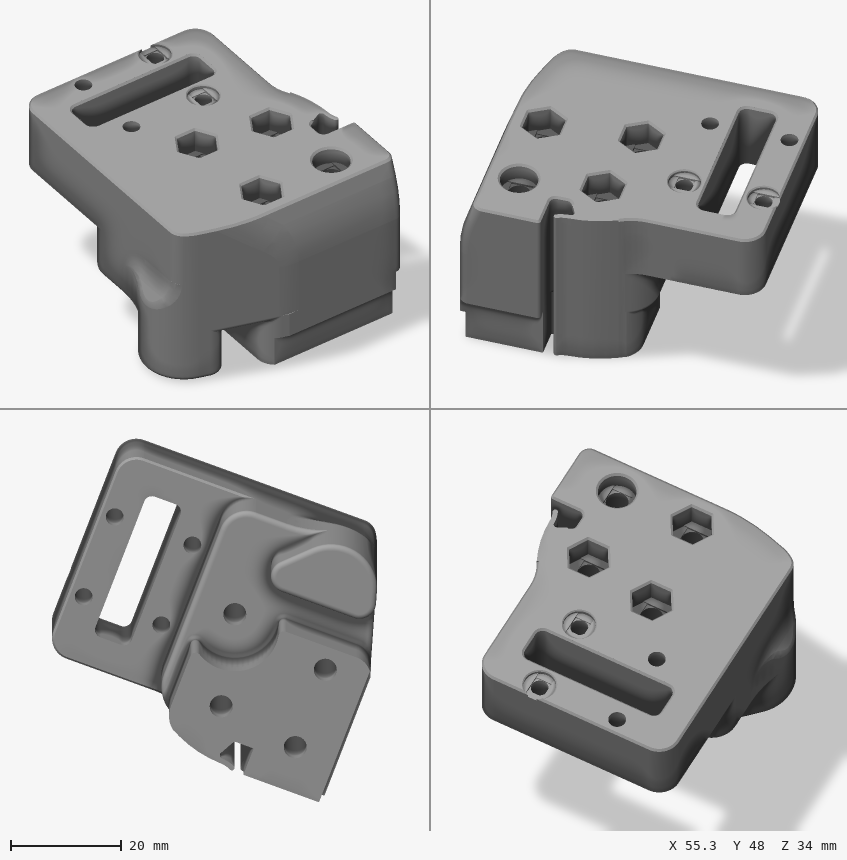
import cadquery as cq
import math

top_z = 34.0
plate_bottom_z = 20.15
body_bottom_z = 10.1
front_foot_bottom_z = 0.35

right_x = 55.3
plate_back_y = 39.9
tab_back_y = 45.85
plate_corner_radius = 4.0
edge_chamfer = 0.4

lobe_x = 42.35
lobe_radius = 8.3
lobe_bulge = 2.15
lobe_y = lobe_radius - lobe_bulge
lobe_blend_radius = 3.0
slant_angle = math.radians(16.7)
slant_blend_radius = 13.8

side_radius = 25.0
side_lean = math.radians(20)
side_arc_bottom_z = 22.25

tab_left_x = 39.65
tab_corner_radius = 2.0
tab_edge_radius = 0.55
notch_y = 38.7
notch_left_x = 35.95
notch_corner_radius = 1.1
notch_top = (35.3, 39.9)
back_blend_x = 21.2
back_blend_radius = 10.0
back_slope = math.radians(30)
back_blend_end = (
    back_blend_x + back_blend_radius * math.sin(back_slope),
    plate_back_y + back_blend_radius * (1 - math.cos(back_slope)),
)

body_left_x = 20.6
body_front_radius = 5
body_back_radius = 6.95
body_back_arc_y = 34.1
foot_left_x = 22.9
foot_back_radius = 5
foot_back_arc_y = 36.65
foot_front_y = 16.25
foot_back_y = 43.95
foot_right_radius = 4.0
foot_edge_radius = 1.0
relief_x = 54.25
relief_z = 6.15
clearance_radius = 8.0
front_foot_back_y = 9.8
front_foot_radius = 3.0
bottom_fillet = 1.0
foot_root_fillet = 0.7
foot_top_z = body_bottom_z + bottom_fillet

bump_side_radius = 19.9
bump_top_z = 22.5
bump_top_radius = 10.0
bump_top_lean = math.radians(25)
bump_axis_x = 38.9
bump_corner_radius = 7.25
bump_edge_fillet = 2.75
bump_edge_z = 16.3

nut_flats = 7.0
nut_depth = 5
screw_hole = 4.15
nut_positions = [(28.6, 18.9), (31.4, 33.4), (46.6, 20.4)]
head_diameter = 6.95
head_depth = 3.3
head_position = (46.6, 35.85)
pin_hole = 3.2
pin_left_x = 2.8
pin_right_x = 17.8
pin_front_y = 12.0
pin_back_y = 27.9
pin_bore = 5.9
pin_bore_depth = 0.65
pin_bore_chamfer = 0.2
step_height = 0.2
slot_left_x = 6.8
slot_right_x = 13.75
slot_front_y = 5.9
slot_back_y = 33.95
slot_corner_radius = 1.5


def on_circle(center, radius, angle):
    """Point of a circle at an angle in radians from +X."""
    return (center[0] + radius * math.cos(angle), center[1] + radius * math.sin(angle))


def near(x, y, z):
    return cq.selectors.NearestToPointSelector((x, y, z))


def prism(sketch, bottom, top):
    """Extrude a closed plan sketch between two Z levels."""
    return sketch.extrude(top - bottom).translate((0, 0, bottom))


def box(x0, x1, y0, y1, z0, z1):
    return cq.Workplane("XY").box(x1 - x0, y1 - y0, z1 - z0, centered=False).translate((x0, y0, z0))


lobe_center = (lobe_x, lobe_y)
blend_drop = lobe_blend_radius - lobe_y
blend_reach = lobe_radius - lobe_blend_radius
blend_x = lobe_x + math.sqrt(blend_reach**2 - blend_drop**2)
blend_angle = math.atan2(blend_drop, blend_x - lobe_x)
blend_center = (blend_x, lobe_blend_radius)
slant_start = on_circle(lobe_center, lobe_radius, -slant_angle)
slant_end_y = slant_start[1] + (right_x - slant_start[0]) / math.tan(slant_angle)


def body_outline():
    """Plan outline shared by the plate and the body, without the latch."""
    return (
        cq.Workplane("XY")
        .moveTo(0, 0)
        .lineTo(blend_x, 0)
        .threePointArc(
            on_circle(blend_center, lobe_blend_radius, (blend_angle - math.pi / 2) / 2),
            on_circle(lobe_center, lobe_radius, blend_angle),
        )
        .threePointArc(
            on_circle(lobe_center, lobe_radius, (blend_angle - slant_angle) / 2), slant_start
        )
        .lineTo(right_x, slant_end_y)
        .lineTo(right_x, tab_back_y)
        .lineTo(tab_left_x, tab_back_y)
        .lineTo(tab_left_x, notch_y)
        .lineTo(notch_left_x, notch_y)
        .lineTo(*notch_top)
        .lineTo(*back_blend_end)
        .threePointArc(
            on_circle(
                (back_blend_x, plate_back_y + back_blend_radius),
                back_blend_radius,
                (back_slope - math.pi) / 2,
            ),
            (back_blend_x, plate_back_y),
        )
        .lineTo(0, plate_back_y)
        .close()
    )


def side_profile():
    """Region left of the rounded right side, extruded along Y."""
    arc_center = (right_x - side_radius, side_arc_bottom_z)
    arc_top = on_circle(arc_center, side_radius, side_lean)
    profile = (
        cq.Workplane("XZ")
        .moveTo(-0.55, 0)
        .lineTo(right_x, 0)
        .lineTo(right_x, side_arc_bottom_z)
        .threePointArc(on_circle(arc_center, side_radius, side_lean / 2), arc_top)
        .lineTo(arc_top[0] - (top_z - arc_top[1]) * math.tan(side_lean), top_z)
        .lineTo(-0.55, top_z)
        .close()
    )
    return profile.extrude(-tab_back_y - 0.55).translate((0, -0.3, 0))


def rounded_left_region(left_x, arc_y, radius, bottom, top):
    """Everything right of a left wall whose back corner runs into the sloping back."""
    center = (left_x + radius, arc_y)
    normal = math.pi / 2 + back_slope
    arc_end = on_circle(center, radius, normal)
    rise = (right_x - arc_end[0]) * math.tan(back_slope)
    sketch = (
        cq.Workplane("XY")
        .moveTo(left_x, 0)
        .lineTo(left_x, arc_y)
        .threePointArc(on_circle(center, radius, (math.pi + normal) / 2), arc_end)
        .lineTo(right_x, arc_end[1] + rise)
        .lineTo(right_x, 0)
        .close()
    )
    return prism(sketch, bottom, top)


def make_blank():
    """Outline at full depth, with its upright edges rounded."""
    blank = prism(body_outline(), body_bottom_z, top_z).intersect(side_profile())
    mid_z = (plate_bottom_z + top_z) / 2
    low_z = (body_bottom_z + side_arc_bottom_z) / 2
    for y in (0, plate_back_y):
        blank = blank.edges(near(0, y, mid_z)).fillet(plate_corner_radius)
    for x in (notch_left_x, tab_left_x):
        blank = blank.edges(near(x, notch_y, mid_z)).fillet(notch_corner_radius)
    blank = blank.edges(near(tab_left_x, tab_back_y, mid_z)).fillet(tab_edge_radius)
    blank = blank.edges(near(right_x, tab_back_y, low_z)).fillet(tab_corner_radius)
    return blank.edges(near(right_x, slant_end_y, low_z)).fillet(slant_blend_radius)


def make_plate(blank):
    plate = blank.intersect(box(0, right_x, 0, tab_back_y, plate_bottom_z, top_z))
    return plate.faces("|Z").edges().chamfer(edge_chamfer)


def make_body(blank):
    """Lower body; it reaches into the plate past the plate's chamfer."""
    body_top_z = plate_bottom_z + 2 * edge_chamfer
    region = rounded_left_region(
        body_left_x, body_back_arc_y, body_back_radius, body_bottom_z, body_top_z
    )
    region = region.edges(near(body_left_x, 0, plate_bottom_z)).fillet(body_front_radius)
    return blank.intersect(region)


def make_bump():
    """Lobe standing proud of the front face, faded out upwards and to the left."""
    side_y = -bump_side_radius
    side_x = lobe_x - math.sqrt((bump_side_radius + lobe_radius) ** 2 - (side_y - lobe_y) ** 2)
    side_center = (side_x, side_y)
    side_angle = math.atan2(lobe_y - side_y, lobe_x - side_x)
    sketch = (
        cq.Workplane("XY")
        .moveTo(side_x, 0)
        .threePointArc(
            on_circle(side_center, bump_side_radius, (side_angle + math.pi / 2) / 2),
            on_circle(side_center, bump_side_radius, side_angle),
        )
        .threePointArc((lobe_x, -lobe_bulge), slant_start)
        .lineTo(slant_start[0], lobe_y)
        .lineTo(side_x, lobe_y)
        .close()
    )
    axis_z = bump_top_z - bump_corner_radius
    arc_center = (-bump_top_radius, bump_top_z)
    arc_end_y = -bump_top_radius * (1 - math.cos(bump_top_lean))
    arc_end_z = bump_top_z - bump_top_radius * math.sin(bump_top_lean)
    slope_foot_y = arc_end_y - (arc_end_z - axis_z) * math.tan(bump_top_lean)
    outline = (
        cq.Workplane("YZ", origin=(bump_axis_x, 0, 0))
        .moveTo(lobe_y, axis_z)
        .lineTo(lobe_y, bump_top_z)
        .lineTo(0, bump_top_z)
        .threePointArc(
            on_circle(arc_center, bump_top_radius, -bump_top_lean / 2), (arc_end_y, arc_end_z)
        )
        .lineTo(slope_foot_y, axis_z)
        .close()
    )
    fade = cq.Face.makeFromWires(outline.val())
    straight = cq.Workplane(cq.Solid.extrudeLinear(fade, cq.Vector(right_x - bump_axis_x, 0, 0)))
    corner = cq.Workplane(
        cq.Solid.revolve(fade, 90, cq.Vector(bump_axis_x, 0.55, axis_z), cq.Vector(bump_axis_x, 0, axis_z))
    )
    lower = box(0, right_x, slope_foot_y, lobe_y, body_bottom_z, axis_z)
    bump = prism(sketch, body_bottom_z, bump_top_z)
    return bump.intersect(straight.union(corner).union(lower))


def make_latch():
    """Bulge on the back with the thin springy lip over the notch, at full height."""
    sketch = (
        cq.Workplane("XY")
        .moveTo(*back_blend_end)
        .threePointArc((30.75, 42.85), (35.05, 43.4))
        .threePointArc((36.15, 43.6), (37.05, 43.9))
        .threePointArc((37.7, 43.65), (37.45, 43.0))
        .threePointArc((36.3, 42.65), (34.95, 42.45))
        .threePointArc((34.4, 42.1), (34.5, 41.4))
        .lineTo(*notch_top)
        .lineTo(notch_top[0] - 0.55, notch_top[1] - 1.1)
        .lineTo(back_blend_end[0] + 0.55, back_blend_end[1] - 1.1)
        .close()
    )
    return prism(sketch, 0, top_z)


def make_front_foot():
    """Foot under the lobe: two small end arcs run tangent into the lobe."""
    foot_y = front_foot_back_y - front_foot_radius

    def end_center(normal):
        reach = lobe_radius - front_foot_radius
        return (lobe_x + (reach + (foot_y - lobe_y) * -math.sin(normal)) / math.cos(normal), foot_y)

    left_normal = math.radians(-135)
    right_normal = -slant_angle
    left = end_center(left_normal)
    right = end_center(right_normal)
    sketch = (
        cq.Workplane("XY")
        .moveTo(left[0], front_foot_back_y)
        .threePointArc(
            on_circle(left, front_foot_radius, math.pi),
            on_circle(left, front_foot_radius, left_normal),
        )
        .lineTo(*on_circle(lobe_center, lobe_radius, left_normal))
        .threePointArc((lobe_x, -lobe_bulge), slant_start)
        .lineTo(*on_circle(right, front_foot_radius, right_normal))
        .threePointArc(
            on_circle(right, front_foot_radius, math.pi / 4), (right[0], front_foot_back_y)
        )
        .close()
    )
    foot = prism(sketch, front_foot_bottom_z, foot_top_z)
    return foot.faces("<Z").edges().fillet(bottom_fillet)


def make_rear_foot():
    """Foot at the back, hollowed by a round clearance around the left nut hole."""
    foot = prism(body_outline(), 0, foot_top_z)
    foot = foot.intersect(box(foot_left_x, right_x, foot_front_y, foot_back_y, 0, foot_top_z))
    foot = foot.intersect(
        rounded_left_region(foot_left_x, foot_back_arc_y, foot_back_radius, 0, foot_top_z)
    )
    mid_z = foot_top_z / 2
    foot = foot.edges(near(right_x, foot_front_y, mid_z)).fillet(foot_right_radius)
    center_x, center_y = nut_positions[0]
    clearance = cq.Workplane("XY").center(center_x, center_y).circle(clearance_radius)
    foot = foot.cut(clearance.extrude(foot_top_z))
    left_edge_y = center_y + math.sqrt(clearance_radius**2 - (center_x - foot_left_x) ** 2)
    front_edge_x = center_x + math.sqrt(clearance_radius**2 - (center_y - foot_front_y) ** 2)
    foot = foot.edges(near(foot_left_x, left_edge_y, mid_z)).fillet(foot_edge_radius)
    foot = foot.edges(near(front_edge_x, foot_front_y, mid_z)).fillet(foot_edge_radius)
    return foot.cut(box(relief_x, right_x, 0, tab_back_y, 0, relief_z))


def make_bore(diameter):
    return cq.Workplane("XY").circle(diameter / 2)


def make_hexagon(flats):
    """Hexagon with two corners on the Y axis."""
    corner = flats / 2 / math.cos(math.pi / 6)
    points = [on_circle((0, 0), corner, math.pi / 6 + k * math.pi / 3) for k in range(6)]
    return cq.Workplane("XY").polyline(points).close()


def make_rim(sketch, width):
    """Chamfer that widens a sketch towards the top face."""
    return sketch.extrude(width, taper=-45).translate((0, 0, top_z - width))


def through_hole(position, diameter):
    return make_bore(diameter).extrude(top_z).translate((*position, 0))


def stepped_hole(position, pocket, size, depth, hole, rim_width, strip_along_x):
    """Pocket whose floor narrows to a round hole in two thin steps: a strip, then a square."""
    floor_z = top_z - depth
    strip_z = floor_z - step_height
    strip_size = (2 * size, hole) if strip_along_x else (hole, 2 * size)
    strip = prism(cq.Workplane("XY").rect(*strip_size), strip_z, floor_z)
    strip = strip.intersect(prism(pocket(size), strip_z, floor_z))
    square = prism(cq.Workplane("XY").rect(hole, hole), strip_z - step_height, strip_z)
    cutter = prism(pocket(size), floor_z, top_z).union(make_rim(pocket(size), rim_width))
    cutter = cutter.union(strip).union(square)
    return cutter.translate((*position, 0)).union(through_hole(position, hole))


def make_slot():
    """Long through slot with rounded corners and a chamfered rim."""
    width = slot_right_x - slot_left_x
    length = slot_back_y - slot_front_y
    slot = cq.Workplane("XY").rect(width, length).extrude(top_z)
    slot = slot.edges("|Z").fillet(slot_corner_radius)
    rim = cq.Workplane("XY").rect(width + 2 * edge_chamfer, length + 2 * edge_chamfer).extrude(edge_chamfer)
    rim = rim.edges("|Z").fillet(slot_corner_radius + edge_chamfer)
    rim = rim.faces("<Z").edges().chamfer(edge_chamfer * 0.99)
    rim = rim.translate((0, 0, top_z - edge_chamfer))
    return slot.union(rim).translate((slot_left_x + width / 2, slot_front_y + length / 2, 0))


def cut_holes(part):
    for position in nut_positions:
        part = part.cut(
            stepped_hole(
                position, make_hexagon, nut_flats, nut_depth, screw_hole, edge_chamfer, False
            )
        )
    part = part.cut(
        stepped_hole(
            head_position, make_bore, head_diameter, head_depth, screw_hole, edge_chamfer, True
        )
    )
    for x in (pin_left_x, pin_right_x):
        part = part.cut(
            stepped_hole(
                (x, pin_back_y), make_bore, pin_bore, pin_bore_depth, pin_hole, pin_bore_chamfer, True
            )
        )
        part = part.cut(through_hole((x, pin_front_y), pin_hole))
    return part.cut(make_slot())


blank = make_blank()
part = make_body(blank).union(make_plate(blank)).union(make_bump())
part = part.edges(near(body_left_x, 22.1, body_bottom_z)).fillet(bottom_fillet)
part = part.edges(near(lobe_x, -lobe_bulge, bump_edge_z)).fillet(bump_edge_fillet)

tab_region = box(0, right_x, foot_back_y, tab_back_y, body_bottom_z, foot_top_z)
part = part.union(blank.intersect(tab_region))
part = part.union(make_front_foot()).union(make_rear_foot()).union(make_latch())
part = part.edges(near(foot_left_x, 31.5, body_bottom_z)).fillet(foot_root_fillet)

result = cut_holes(part)